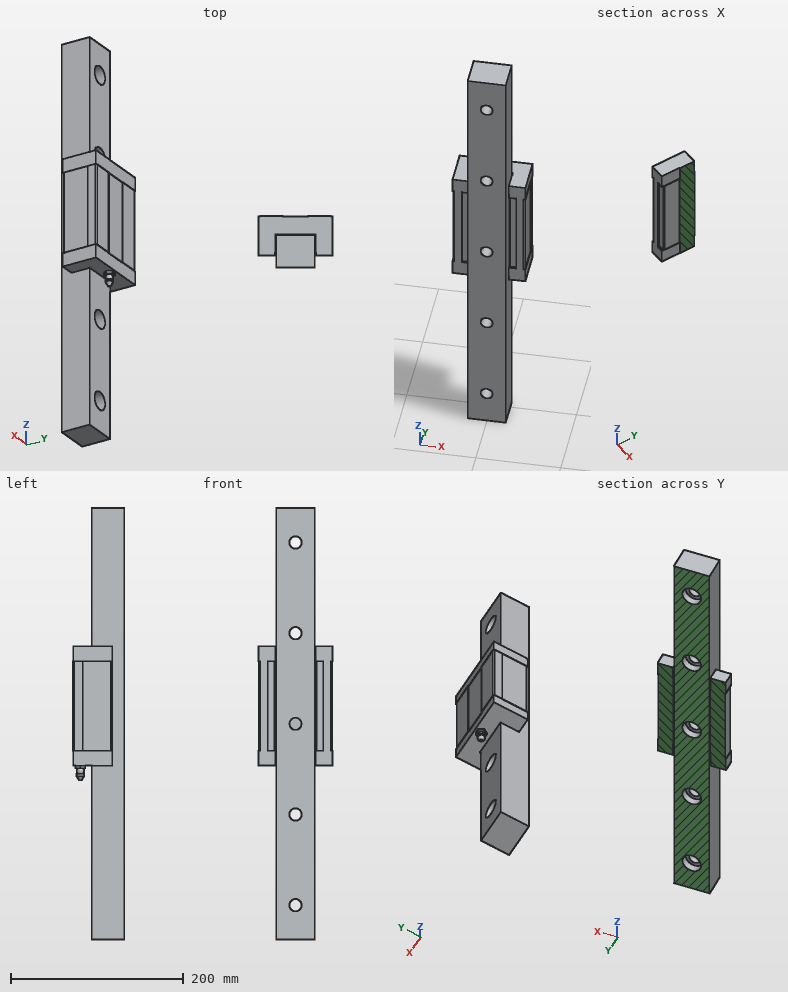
import cadquery as cq
import math

RAIL_LENGTH = 500.0
RAIL_WIDTH = 45.0
RAIL_HEIGHT = 38.0
HOLE_COUNT = 5
HOLE_PITCH = 105.0
HOLE_DIAMETER = 14.0
COUNTERBORE_DIAMETER = 23.0
COUNTERBORE_DEPTH = 17.0

CARRIAGE_BOTTOM_Z = -48.5
CARRIAGE_LENGTH = 138.5
CAP_LENGTH = 17.5
CAP_WIDTH = 86.0
CARRIAGE_BASE_Y = 14.0
CAP_TOP_Y = 59.5
CAP_SLOT_CLEARANCE = 1.0

BLOCK_TOP_Y = 60.0
BLOCK_LENGTH = CARRIAGE_LENGTH - 2 * CAP_LENGTH
BLOCK_BOTTOM_Z = CARRIAGE_BOTTOM_Z + CAP_LENGTH
BLOCK_UPPER_WIDTH = 85.5
BLOCK_LOWER_WIDTH = 85.0
BLOCK_STEP_Y = 48.0
BLOCK_CHAMFER = 1.85
BLOCK_SLOT_CLEARANCE = 0.5
SLOT_CHAMFER = 1.5
LEDGE_WIDTH = 9.0
LEDGE_DEPTH = 2.5
TOP_RELIEF_WIDTH = 30.0
TOP_RELIEF_DEPTH = 1.0

NIPPLE_Y = 51.0
NIPPLE_LENGTH = 17.0
HEX_ACROSS_FLATS = 11.5
HEX_THICKNESS = 3.0
NECK_BULGE_DIAMETER = 9.0
NECK_END_DIAMETER = 7.0
NECK_LENGTH = 6.5
HEAD_DIAMETER = 9.0
HEAD_RIM_LENGTH = 2.5
TIP_DIAMETER = 3.0


def make_rail():
    """Square bar with a row of counterbored holes running along Y."""
    bar = cq.Workplane("XY").box(RAIL_WIDTH, RAIL_HEIGHT, RAIL_LENGTH).translate((0, RAIL_HEIGHT / 2, 0))
    return (
        bar.faces(">Y")
        .workplane(centerOption="CenterOfBoundBox")
        .rarray(5, HOLE_PITCH, 1, HOLE_COUNT)
        .cboreHole(HOLE_DIAMETER, COUNTERBORE_DIAMETER, COUNTERBORE_DEPTH)
    )


def extrude_half_profile(points, bottom_z, length):
    """Mirror a half outline about the YZ plane and extrude it along Z."""
    mirrored = [(-x, y) for x, y in reversed(points)]
    return (
        cq.Workplane("XY")
        .workplane(offset=bottom_z)
        .polyline(points + mirrored)
        .close()
        .extrude(length)
    )


def make_end_cap(bottom_z):
    """Plain U-shaped plate with a small gap around the rail."""
    slot = RAIL_WIDTH / 2 + CAP_SLOT_CLEARANCE
    slot_top = RAIL_HEIGHT + CAP_SLOT_CLEARANCE
    side = CAP_WIDTH / 2
    outline = [
        (slot, slot_top),
        (slot, CARRIAGE_BASE_Y),
        (side, CARRIAGE_BASE_Y),
        (side, CAP_TOP_Y),
    ]
    return extrude_half_profile(outline, bottom_z, CAP_LENGTH)


def make_block():
    """U-shaped steel block with chamfered corners, ledges by the slot, stepped sides and a relieved top."""
    slot = RAIL_WIDTH / 2 + BLOCK_SLOT_CLEARANCE
    slot_top = RAIL_HEIGHT + BLOCK_SLOT_CLEARANCE
    ledge = slot + LEDGE_WIDTH
    ledge_y = CARRIAGE_BASE_Y + LEDGE_DEPTH
    lower_side = BLOCK_LOWER_WIDTH / 2
    upper_side = BLOCK_UPPER_WIDTH / 2
    relief = TOP_RELIEF_WIDTH / 2
    outline = [
        (slot, slot_top),
        (slot, ledge_y + SLOT_CHAMFER),
        (slot + SLOT_CHAMFER, ledge_y),
        (ledge, ledge_y),
        (ledge, CARRIAGE_BASE_Y),
        (lower_side - BLOCK_CHAMFER, CARRIAGE_BASE_Y),
        (lower_side, CARRIAGE_BASE_Y + BLOCK_CHAMFER),
        (lower_side, BLOCK_STEP_Y),
        (upper_side, BLOCK_STEP_Y),
        (upper_side, BLOCK_TOP_Y - BLOCK_CHAMFER),
        (upper_side - BLOCK_CHAMFER, BLOCK_TOP_Y),
        (relief, BLOCK_TOP_Y),
        (relief, BLOCK_TOP_Y - TOP_RELIEF_DEPTH),
    ]
    return extrude_half_profile(outline, BLOCK_BOTTOM_Z, BLOCK_LENGTH)


def make_carriage():
    """Block and both end caps as one solid."""
    lower_cap = make_end_cap(CARRIAGE_BOTTOM_Z)
    upper_cap = make_end_cap(BLOCK_BOTTOM_Z + BLOCK_LENGTH)
    return make_block().union(lower_cap).union(upper_cap)


def make_nipple():
    """Hexagonal base with a corner facing -X, then a turned bulging neck and a conical head."""
    across_corners = HEX_ACROSS_FLATS / math.cos(math.pi / 6)
    base = cq.Workplane("XY").polygon(6, across_corners).extrude(-HEX_THICKNESS)

    neck_start = -HEX_THICKNESS
    neck_middle = neck_start - NECK_LENGTH / 2
    neck_end = neck_start - NECK_LENGTH
    stem = (
        cq.Workplane("XZ")
        .moveTo(0, neck_start)
        .lineTo(-NECK_END_DIAMETER / 2, neck_start)
        .threePointArc((-NECK_BULGE_DIAMETER / 2, neck_middle), (-NECK_END_DIAMETER / 2, neck_end))
        .lineTo(-HEAD_DIAMETER / 2, neck_end)
        .lineTo(-HEAD_DIAMETER / 2, neck_end - HEAD_RIM_LENGTH)
        .lineTo(-TIP_DIAMETER / 2, -NIPPLE_LENGTH)
        .lineTo(0, -NIPPLE_LENGTH)
        .close()
        .revolve(360, (0, 0, 0), (0, 1, 0))
    )
    return base.union(stem).translate((0, NIPPLE_Y, CARRIAGE_BOTTOM_Z))


rail = make_rail()
carriage = make_carriage()
nipple = make_nipple()

result = cq.Compound.makeCompound([rail.val(), carriage.val(), nipple.val()])